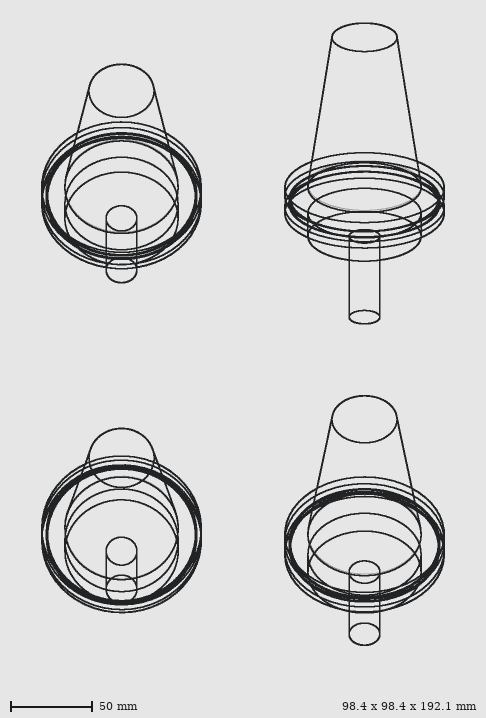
import cadquery as cq
import math


gauge_diameter = 69.85
taper_length = 101.6
taper_ratio = 7 / 24
taper_tip_diameter = gauge_diameter - taper_length * taper_ratio

flange_diameter = 98.43
flange_top_z = -1.59
flange_bottom_z = -19.05
groove_floor_diameter = 91.29
groove_centre_z = -11.13
groove_floor_width = 3.85
groove_mouth_width = 7.05
groove_wall_angle = 30

body_diameter = gauge_diameter
body_bottom_z = -35.0
shank_diameter = 19.05
shank_bottom_z = -90.5


def cylinder(diameter, bottom_z, top_z):
    """Cylinder on the Z axis between two heights."""
    return cq.Workplane("XY").workplane(offset=bottom_z).circle(diameter / 2).extrude(top_z - bottom_z)


def turned(profile):
    """Solid of revolution about Z from (radius, z) points."""
    return cq.Workplane("XZ").polyline(profile).close().revolve(360, (0, 0), (0, 1))


def make_taper():
    """Cone from the gauge plane up to the small end."""
    return turned([
        (0, 0),
        (gauge_diameter / 2, 0),
        (taper_tip_diameter / 2, taper_length),
        (0, taper_length),
    ])


def make_flange():
    """Flange disc with the groove around its rim."""
    rim_radius = flange_diameter / 2
    floor_radius = groove_floor_diameter / 2
    floor_half_width = groove_floor_width / 2
    mouth_half_width = groove_mouth_width / 2
    wall_height = mouth_half_width - floor_half_width
    ledge_radius = rim_radius - wall_height / math.tan(math.radians(groove_wall_angle))
    return turned([
        (0, flange_bottom_z),
        (rim_radius, flange_bottom_z),
        (rim_radius, groove_centre_z - mouth_half_width),
        (ledge_radius, groove_centre_z - floor_half_width),
        (floor_radius, groove_centre_z - floor_half_width),
        (floor_radius, groove_centre_z + floor_half_width),
        (ledge_radius, groove_centre_z + floor_half_width),
        (rim_radius, groove_centre_z + mouth_half_width),
        (rim_radius, flange_top_z),
        (0, flange_top_z),
    ])


taper = make_taper()
collar = cylinder(gauge_diameter, flange_top_z, 0)
flange = make_flange()
body = cylinder(body_diameter, body_bottom_z, flange_bottom_z)
shank = cylinder(shank_diameter, shank_bottom_z, body_bottom_z)

result = taper.union(collar).union(flange).union(body).union(shank)